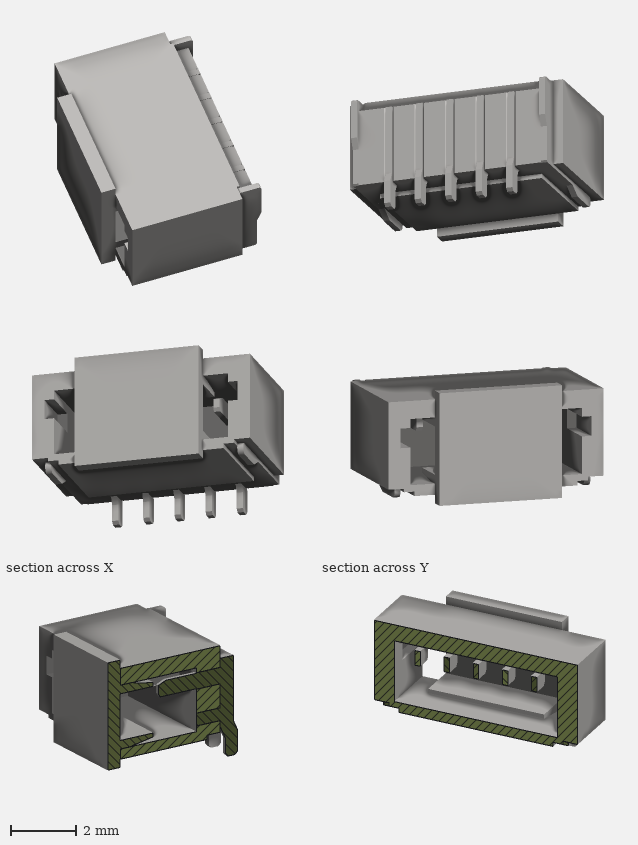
import cadquery as cq


HOUSING_WIDTH = 7.0
HOUSING_HEIGHT = 2.74
SIDE_WALL_LENGTH = 3.605
ROOF_LENGTH = 3.695
HOUSING_LENGTH = 4.19
LEDGE_Z = 2.31
BASE_DROP = 0.11
FOOT_DROP = 0.25
FOOT_WIDTH = 5.305
FOOT_LENGTH = 3.205

CAVITY_WIDTH = 5.58
CAVITY_FLOOR_Z = 0.1
CAVITY_ROOF_Z = 2.17
CAVITY_DEPTH = 2.8
KEYWAY_WIDTH = 6.2
KEYWAY_BOTTOM_Z = 1.275
KEYWAY_TOP_Z = 1.89
KEYWAY_DEPTH = 1.4

PIN_COUNT = 5
PIN_PITCH = 1.0
PIN_THICKNESS = 0.2
PIN_TOP_Z = 2.325
PIN_BEND_Z = 0.155
PIN_FOOT_Z = -0.95
PIN_REAR_Y = 4.325
PIN_FOOT_WIDTH = 0.455
PIN_FOOT_CHAMFER = 0.1
BEND_RISE = 0.29
BEAM_TIP_Y = 1.4
BEAM_BOTTOM_Z = 1.49
BEAM_TOP_Z = 2.01
BEAM_TIP_BEVEL = 0.12
LOWER_BEVEL_LENGTH = 0.07
UPPER_BEVEL_LENGTH = 0.295
ANCHOR_BOTTOM_Z = 0.29
ANCHOR_TOP_Z = 0.685
SLOT_LEAD_IN_WIDTH = 0.055
SLOT_LEAD_IN_DEPTH = 0.085

NAIL_THICKNESS = 0.195
NAIL_OUTER_X = 3.185
NAIL_REAR_Y = 4.34
NAIL_TOP_Z = 2.645
NAIL_TOP_CORNER = 0.1
NAIL_FRONT_CORNER = 0.085
NAIL_HEEL_CORNER = 0.055
NAIL_STEP_TOP_Z = 1.4
NAIL_STEP_BOTTOM_Z = 1.06
NAIL_SOLE_Z = -0.35
NAIL_SOLE_FRONT_Y = 0.475
NAIL_SOLE_REAR_Y = 1.485
NAIL_RAMP_REAR_Y = 1.925
NAIL_NOSE_TOP_Y = 0.405
NAIL_NOSE_Y = 0.34
NAIL_NOSE_Z = -0.155

CAP_WIDTH = 3.98
CAP_THICKNESS = 0.46
CAP_BOTTOM_Z = -0.52
CAP_TOP_Z = 3.01
LEG_LENGTH = 1.22
LEG_THICKNESS = 0.28
LEG_TAPER_START_Y = 0.42
LEG_TAPER = 0.14

BASE_HALF_WIDTH = NAIL_OUTER_X - NAIL_THICKNESS
PIN_FOOT_FRONT_Y = PIN_REAR_Y - PIN_FOOT_WIDTH
BEND_SLOPE = BEND_RISE / (PIN_REAR_Y - HOUSING_LENGTH)
INNER_BEND_BOTTOM_Z = PIN_BEND_Z - BEND_RISE - PIN_THICKNESS
INNER_BEND_TOP_Z = INNER_BEND_BOTTOM_Z + BEND_SLOPE * (PIN_FOOT_FRONT_Y - ROOF_LENGTH)
PIN_XS = [(i - (PIN_COUNT - 1) / 2) * PIN_PITCH for i in range(PIN_COUNT)]


def block(width, y_front, y_rear, z_bottom, z_top):
    """Box centred on x = 0."""
    return cq.Workplane("XY").box(
        width, y_rear - y_front, z_top - z_bottom, centered=(True, False, False)
    ).translate((0, y_front, z_bottom))


def extrude_across(profile, thickness):
    """Extrude a closed (y, z) profile symmetrically about x = 0."""
    return profile.extrude(thickness / 2, both=True)


def make_pin():
    """Contact pin at x = 0: bent leg with a mating beam and a lower anchor arm."""
    outline = [
        (HOUSING_LENGTH, PIN_TOP_Z),
        (HOUSING_LENGTH, PIN_BEND_Z),
        (PIN_REAR_Y, PIN_BEND_Z - BEND_RISE),
        (PIN_REAR_Y, PIN_FOOT_Z + PIN_FOOT_CHAMFER),
        (PIN_REAR_Y - PIN_FOOT_CHAMFER, PIN_FOOT_Z),
        (PIN_FOOT_FRONT_Y + PIN_FOOT_CHAMFER, PIN_FOOT_Z),
        (PIN_FOOT_FRONT_Y, PIN_FOOT_Z + PIN_FOOT_CHAMFER),
        (PIN_FOOT_FRONT_Y, INNER_BEND_BOTTOM_Z),
        (ROOF_LENGTH, INNER_BEND_TOP_Z),
        (ROOF_LENGTH, ANCHOR_BOTTOM_Z),
        (CAVITY_DEPTH, ANCHOR_BOTTOM_Z),
        (CAVITY_DEPTH, ANCHOR_TOP_Z),
        (ROOF_LENGTH, ANCHOR_TOP_Z),
        (ROOF_LENGTH, BEAM_BOTTOM_Z),
        (BEAM_TIP_Y + LOWER_BEVEL_LENGTH, BEAM_BOTTOM_Z),
        (BEAM_TIP_Y, BEAM_BOTTOM_Z + BEAM_TIP_BEVEL),
        (BEAM_TIP_Y, BEAM_TOP_Z - BEAM_TIP_BEVEL),
        (BEAM_TIP_Y + UPPER_BEVEL_LENGTH, BEAM_TOP_Z),
        (ROOF_LENGTH, BEAM_TOP_Z),
        (ROOF_LENGTH, PIN_TOP_Z),
    ]
    return extrude_across(cq.Workplane("YZ").polyline(outline).close(), PIN_THICKNESS)


def make_pin_slot():
    """Housing cut for a pin at x = 0: rear slot with flared mouth and two arm holes."""
    slot = block(PIN_THICKNESS, ROOF_LENGTH, HOUSING_LENGTH, -BASE_DROP, LEDGE_Z)
    beam_hole = block(PIN_THICKNESS, CAVITY_DEPTH, ROOF_LENGTH, BEAM_BOTTOM_Z, BEAM_TOP_Z)
    anchor_hole = block(PIN_THICKNESS, CAVITY_DEPTH, ROOF_LENGTH, ANCHOR_BOTTOM_Z, ANCHOR_TOP_Z)
    throat_half = PIN_THICKNESS / 2
    mouth_half = throat_half + SLOT_LEAD_IN_WIDTH
    lead_in = (
        cq.Workplane("XY")
        .workplane(offset=-BASE_DROP)
        .polyline([
            (-throat_half, HOUSING_LENGTH - SLOT_LEAD_IN_DEPTH),
            (throat_half, HOUSING_LENGTH - SLOT_LEAD_IN_DEPTH),
            (mouth_half, HOUSING_LENGTH),
            (-mouth_half, HOUSING_LENGTH),
        ])
        .close()
        .extrude(LEDGE_Z + BASE_DROP)
    )
    return slot.union(beam_hole).union(anchor_hole).union(lead_in)


def make_housing():
    """Hollow shell with a stepped base, a rear ledge and one slot per pin."""
    base_width = 2 * BASE_HALF_WIDTH
    shell = block(HOUSING_WIDTH, 0, SIDE_WALL_LENGTH, 0, HOUSING_HEIGHT)
    core = block(base_width, 0, ROOF_LENGTH, -BASE_DROP, HOUSING_HEIGHT)
    ledge = block(base_width, 0, HOUSING_LENGTH, -BASE_DROP, LEDGE_Z)
    foot = block(FOOT_WIDTH, 0, FOOT_LENGTH, -FOOT_DROP, 0)
    cavity = block(CAVITY_WIDTH, 0, CAVITY_DEPTH, CAVITY_FLOOR_Z, CAVITY_ROOF_Z)
    keyway = block(KEYWAY_WIDTH, 0, KEYWAY_DEPTH, KEYWAY_BOTTOM_Z, KEYWAY_TOP_Z)
    housing = shell.union(core).union(ledge).union(foot).cut(cavity).cut(keyway)
    pin_slot = make_pin_slot()
    for x in PIN_XS:
        housing = housing.cut(pin_slot.translate((x, 0, 0)))
    return housing


def make_nail():
    """Flat solder nail at x = 0: upright plate behind the side wall and a sole below it."""
    profile = (
        cq.Workplane("YZ")
        .moveTo(SIDE_WALL_LENGTH, 0)
        .lineTo(SIDE_WALL_LENGTH, NAIL_TOP_Z - NAIL_FRONT_CORNER)
        .radiusArc((SIDE_WALL_LENGTH + NAIL_FRONT_CORNER, NAIL_TOP_Z), NAIL_FRONT_CORNER)
        .lineTo(NAIL_REAR_Y - NAIL_TOP_CORNER, NAIL_TOP_Z)
        .radiusArc((NAIL_REAR_Y, NAIL_TOP_Z - NAIL_TOP_CORNER), NAIL_TOP_CORNER)
        .lineTo(NAIL_REAR_Y, NAIL_STEP_TOP_Z)
        .lineTo(HOUSING_LENGTH, NAIL_STEP_BOTTOM_Z)
        .lineTo(HOUSING_LENGTH, -BASE_DROP + NAIL_HEEL_CORNER)
        .lineTo(HOUSING_LENGTH - NAIL_HEEL_CORNER, -BASE_DROP)
        .lineTo(NAIL_RAMP_REAR_Y, -BASE_DROP)
        .lineTo(NAIL_SOLE_REAR_Y, NAIL_SOLE_Z)
        .lineTo(NAIL_SOLE_FRONT_Y, NAIL_SOLE_Z)
        .threePointArc((NAIL_NOSE_Y, NAIL_NOSE_Z), (NAIL_NOSE_TOP_Y, 0))
        .close()
    )
    return extrude_across(profile, NAIL_THICKNESS)


def make_cap():
    """Flat plate over the mating face with two legs that grip the cavity floor and roof."""
    plate = block(CAP_WIDTH, -CAP_THICKNESS, 0, CAP_BOTTOM_Z, CAP_TOP_Z)
    lower_leg = extrude_across(
        cq.Workplane("YZ").polyline([
            (-CAP_THICKNESS, CAVITY_FLOOR_Z),
            (LEG_TAPER_START_Y, CAVITY_FLOOR_Z),
            (LEG_LENGTH, CAVITY_FLOOR_Z + LEG_TAPER),
            (LEG_LENGTH, CAVITY_FLOOR_Z + LEG_THICKNESS),
            (-CAP_THICKNESS, CAVITY_FLOOR_Z + LEG_THICKNESS),
        ]).close(),
        CAP_WIDTH,
    )
    cavity_mid_z = (CAVITY_FLOOR_Z + CAVITY_ROOF_Z) / 2
    upper_leg = lower_leg.mirror("XY", (0, 0, cavity_mid_z))
    return plate.union(lower_leg).union(upper_leg)


housing = make_housing()
cap = make_cap()

pins = []
for x in PIN_XS:
    pins.append(make_pin().translate((x, 0, 0)).val())

nails = []
for side in (-1, 1):
    nail_x = side * (NAIL_OUTER_X - NAIL_THICKNESS / 2)
    nails.append(make_nail().translate((nail_x, 0, 0)).val())

result = cq.Compound.makeCompound([housing.val(), cap.val(), *pins, *nails])